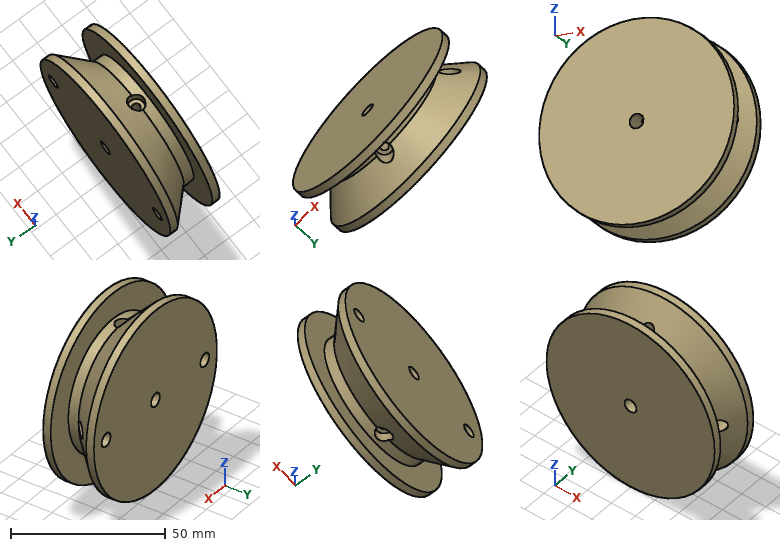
import cadquery as cq

outer_diameter = 70.0
width = 20.0
flange_thickness = 3.0
barrel_diameter = 50.0
outer_radius = outer_diameter / 2
barrel_radius = barrel_diameter / 2

cone_length = outer_radius - barrel_radius

bore_diameter = 5.0
line_hole_diameter = 5.0

cross_hole_diameter = 3.0
counterbore_diameter = 6.0
counterbore_depth = 5.0
cross_hole_setback = 7.5

front_y = -width / 2
back_y = width / 2
cone_end_y = back_y - flange_thickness
cone_start_y = cone_end_y - cone_length
cross_hole_y = front_y + cross_hole_setback

line_hole_radial_offset = barrel_radius - cone_start_y


def spool_body():
    """Revolve the half section about the Y axis."""
    return (
        cq.Workplane("XY")
        .moveTo(0, front_y)
        .lineTo(outer_radius, front_y)
        .lineTo(outer_radius, front_y + flange_thickness)
        .lineTo(barrel_radius, front_y + flange_thickness)
        .lineTo(barrel_radius, cone_start_y)
        .lineTo(outer_radius, cone_end_y)
        .lineTo(outer_radius, back_y)
        .lineTo(0, back_y)
        .close()
        .revolve(360, (0, 0, 0), (0, 1, 0))
    )


def rod(diameter, start, direction, length):
    """Cylinder used as a cutter, from start along direction."""
    return cq.Solid.makeCylinder(diameter / 2, length, cq.Vector(*start), cq.Vector(*direction))


def cut_cross_hole(body):
    """Cut the through hole along Z and its two counterbores."""
    through_hole = rod(cross_hole_diameter, (0, cross_hole_y, -outer_radius), (0, 0, 1), outer_diameter)
    body = body.cut(through_hole)
    floor_height = barrel_radius - counterbore_depth
    for side in (1, -1):
        floor_center = (0, cross_hole_y, side * floor_height)
        body = body.cut(rod(counterbore_diameter, floor_center, (0, 0, side), outer_radius))
    return body


def cut_line_holes(body):
    """Cut the two holes that run from the cone face out through the back flange."""
    length = back_y - cone_start_y
    for side in (1, -1):
        start = (side * line_hole_radial_offset, cone_start_y, 0)
        body = body.cut(rod(line_hole_diameter, start, (0, 1, 0), length))
    return body


axle_bore = rod(bore_diameter, (0, front_y, 0), (0, 1, 0), width)

spool = spool_body().cut(axle_bore)
spool = cut_line_holes(spool)
result = cut_cross_hole(spool)